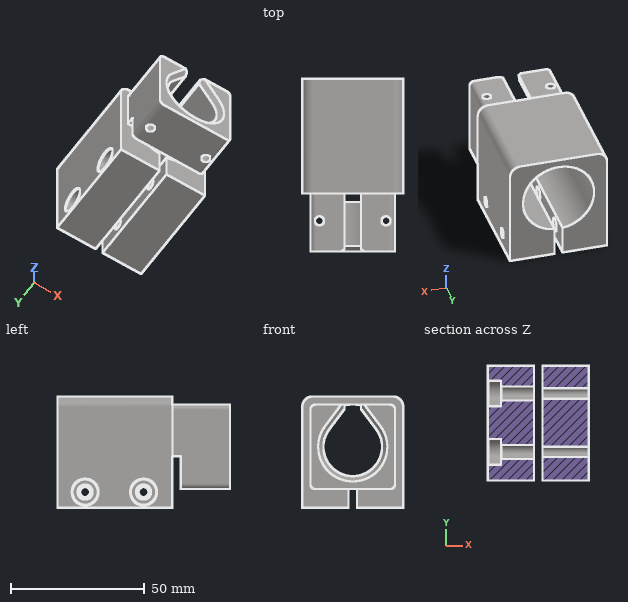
import cadquery as cq
import math

length = 65.0
width = 38.0
height = 42.0
sleeve_length = 43.2
sleeve_radius = 4.0
axis_z = height - width / 2
sleeve_bore_radius = 13.9
sleeve_bore_raise = 2.0
slit_width = 3.1

nose_side = 31.85
nose_radius = 2.0
nose_length = length - sleeve_length
relief_width = 3.1
relief_top_z = 19.45

nose_bore_radius = 11.0
bore_chamfer = 2.0
mouth_width = 6.05
flank_angle = math.radians(36.9)

pin_diameter = 3.3
pin_spacing = 25.0
pin_setback = 11.6

screw_z = 6.0
screw_spacing = 22.0
rear_screw_setback = 10.45
head_diameter = 9.55
head_depth = 5.0
head_chamfer = 0.25
clearance_diameter = 5.15
clearance_chamfer = 0.25
thread_diameter = 3.8

sleeve_front_y = nose_length


def box(size_x, y_start, y_end, z_bottom, z_top):
    """Box centred on x = 0."""
    size_y = y_end - y_start
    size_z = z_top - z_bottom
    return cq.Workplane("XY").box(size_x, size_y, size_z, centered=(True, False, False)).translate(
        (0, y_start, z_bottom)
    )


def plane_across_y(y):
    """Workplane facing -Y, centred on the bore axis."""
    return cq.Workplane("XZ", origin=(0, y, axis_z))


def teardrop(sketch, radius):
    """Circle closed at the top by two tangent flanks that meet in a point."""
    tangent_x = radius * math.cos(flank_angle)
    tangent_z = radius * math.sin(flank_angle)
    apex_z = radius / math.sin(flank_angle)
    return (
        sketch.moveTo(0, apex_z)
        .lineTo(-tangent_x, tangent_z)
        .threePointArc((0, -radius), (tangent_x, tangent_z))
        .close()
    )


def make_sleeve():
    body = box(width, sleeve_front_y, length, 0, height)
    body = body.edges("|Y and >Z").fillet(sleeve_radius)
    slit = box(slit_width, sleeve_front_y, length, 0, axis_z)
    return body.cut(slit)


def make_nose():
    half_side = nose_side / 2
    nose = box(nose_side, 0, nose_length, axis_z - half_side, axis_z + half_side)
    nose = nose.edges("|Y").fillet(nose_radius)

    bore = teardrop(plane_across_y(nose_length), nose_bore_radius).extrude(nose_length)
    entry = teardrop(plane_across_y(0), nose_bore_radius + bore_chamfer).workplane(offset=-bore_chamfer)
    entry = teardrop(entry, nose_bore_radius).loft(ruled=True)
    mouth = box(mouth_width, 0, nose_length, axis_z, height)
    relief = box(width, nose_length - relief_width, nose_length, 0, relief_top_z)
    nose = nose.cut(bore).cut(entry).cut(mouth).cut(relief)

    pins = (
        cq.Workplane("XY")
        .pushPoints([(-pin_spacing / 2, pin_setback), (pin_spacing / 2, pin_setback)])
        .circle(pin_diameter / 2)
        .extrude(height)
    )
    return nose.cut(pins)


def screw_hole(y):
    """Stepped hole along X: head recess, clearance hole, then thread hole beyond the slit."""
    entry_x = -width / 2
    floor_x = entry_x + head_depth

    def cylinder(x, diameter, depth):
        return cq.Workplane("YZ", origin=(x, y, screw_z)).circle(diameter / 2).extrude(depth)

    def countersink(x, diameter, depth):
        rim = cq.Workplane("YZ", origin=(x, y, screw_z)).circle(diameter / 2 + depth)
        return rim.workplane(offset=depth).circle(diameter / 2).loft()

    hole = cylinder(entry_x, thread_diameter, width)
    hole = hole.union(cylinder(entry_x, clearance_diameter, width / 2))
    hole = hole.union(cylinder(entry_x, head_diameter, head_depth))
    hole = hole.union(countersink(entry_x, head_diameter, head_chamfer))
    return hole.union(countersink(floor_x, clearance_diameter, clearance_chamfer))


def make_sleeve_bore():
    """Bore through the sleeve that also hollows the neck above the relief."""
    bore = plane_across_y(length).center(0, sleeve_bore_raise).circle(sleeve_bore_radius)
    return bore.extrude(sleeve_length + relief_width)


result = make_sleeve().union(make_nose()).cut(make_sleeve_bore())
rear_screw_y = length - rear_screw_setback
for screw_y in (rear_screw_y - screw_spacing, rear_screw_y):
    result = result.cut(screw_hole(screw_y))